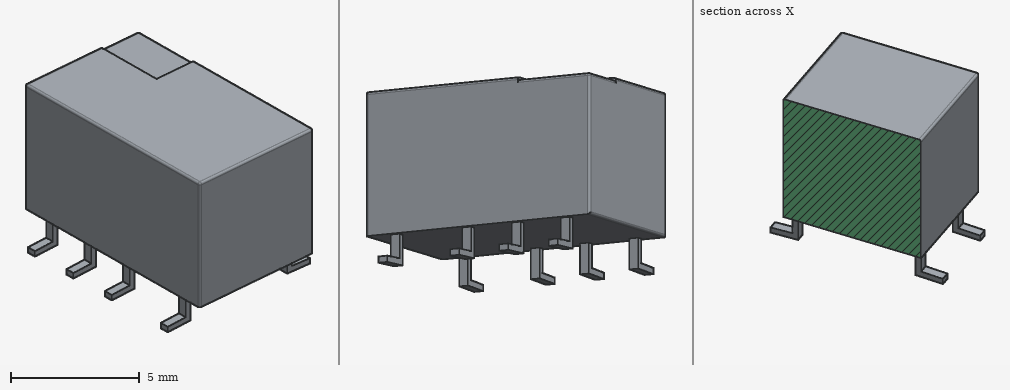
import cadquery as cq

body_length = 10.0
body_width = 6.0
body_height = 5.68
body_bottom = 1.25
edge_radius = 0.1

step_length = 3.2
step_width = 2.0
step_depth = 0.11

lead_positions = (-3.8, -1.6, 0.6, 3.8)
lead_width = 0.4
lead_thickness = 0.25
lead_outer_face = 2.8
lead_tip = 3.75
foot_drop = 0.04

lead_inner_face = lead_outer_face - lead_thickness


def make_housing():
    """Box with a lowered top corner and rounded edges; the +X, +Y and -Y bottom edges stay sharp."""
    box = cq.Workplane("XY").box(body_length, body_width, body_height, centered=(True, True, False))
    step = cq.Workplane("XY").box(step_length, step_width, step_depth, centered=False)
    step = step.translate((-body_length / 2, body_width / 2 - step_width, body_height - step_depth))
    stepped = box.cut(step)

    end_edges = stepped.faces("<X or >X").edges("not <Z")
    top_side_edges = stepped.faces("<Y or >Y").edges("|X and (not <Z)")
    bottom_end_edge = stepped.edges("<Z and <X")
    rounded_edges = end_edges.add(top_side_edges).add(bottom_end_edge)
    return rounded_edges.fillet(edge_radius).translate((0, 0, body_bottom))


def make_lead(x, side):
    """Lead with a vertical leg and a foot that slopes down to its tip; side is +1 or -1 along Y."""
    section = [
        (lead_inner_face, body_bottom),
        (lead_inner_face, foot_drop),
        (lead_tip, 0),
        (lead_tip, lead_thickness),
        (lead_outer_face, lead_thickness + foot_drop),
        (lead_outer_face, body_bottom),
    ]
    points = [(side * y, z) for y, z in section]
    lead = cq.Workplane("YZ").polyline(points).close().extrude(lead_width / 2, both=True)
    return lead.translate((x, 0, 0))


result = make_housing()
for lead_x in lead_positions:
    for lead_side in (-1, 1):
        result = result.union(make_lead(lead_x, lead_side))